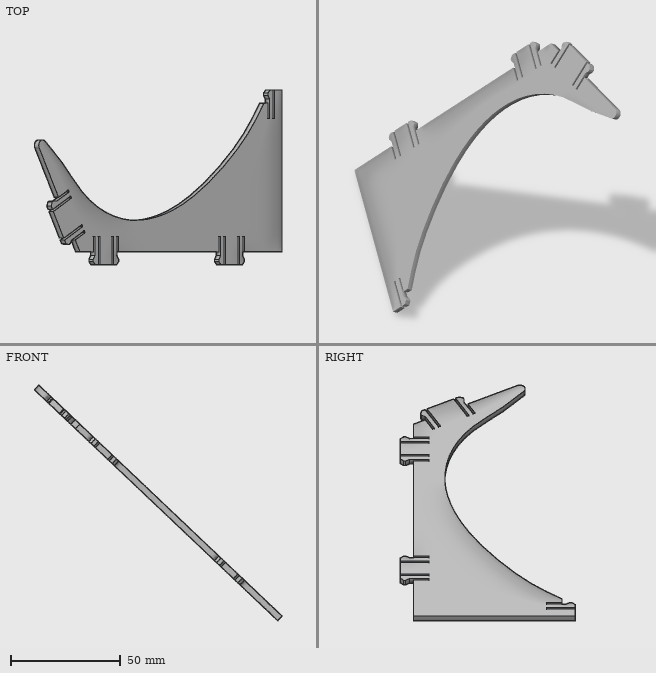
import cadquery as cq
import math

thickness = 3.0
tilt = 43.5
panel_height = 68.0
base_length = 127.5
back_slope = 61.6

overall_length = 153.4
tip_radius = 2.5
tip_blend_angle = 135

concave_points = [
    (140.2, 42.3), (125.8, 27.2), (108.9, 17.2), (92.9, 14.4),
    (66.6, 19.9), (46.7, 31.4), (32.1, 43.3), (20.0, 55.9),
]
panel_top_width = 11.5
panel_top_direction = (-1, 1.5)

tab_length = 6.0
slot_depth = 7.0
slot_width = 1.0
prong_width = 2.2
hook_reach = 1.0
hook_start = 1.8
hook_crest_start = 3.5
hook_crest_end = 4.5
hook_end_inset = 0.3

base_tab_width = 14.0
base_tab_places = (31.8, 111.0)
back_tab_width = 20.2
back_tab_place = 17.2
heel_tab_width = 16.0

back_cos = math.cos(math.radians(back_slope))
back_sin = math.sin(math.radians(back_slope))


def back_point(distance):
    """Point on the slanted back edge, measured from the base corner."""
    return (base_length + distance * back_cos, distance * back_sin)


def make_panel():
    """Panel and arm without tabs."""
    center_x = overall_length - tip_radius
    center_y = (tip_radius + (center_x - base_length) * back_sin) / back_cos

    def on_tip(angle):
        turn = math.radians(angle)
        return (center_x + tip_radius * math.cos(turn), center_y + tip_radius * math.sin(turn))

    tip_start_angle = back_slope - 90
    tip_middle_angle = (tip_start_angle + tip_blend_angle) / 2
    blend = math.radians(tip_blend_angle)
    return (
        cq.Workplane("XY")
        .lineTo(base_length, 0)
        .lineTo(*on_tip(tip_start_angle))
        .threePointArc(on_tip(tip_middle_angle), on_tip(tip_blend_angle))
        .spline(
            concave_points + [(panel_top_width, panel_height)],
            tangents=[(-math.sin(blend), math.cos(blend)), panel_top_direction],
            includeCurrent=True,
        )
        .lineTo(0, panel_height)
        .close()
        .extrude(thickness)
    )


def make_tab(width):
    """Tab pointing along -y from the origin, with hooks on both sides."""
    neck = width / 2
    side = [
        (neck, 0),
        (neck, -hook_start),
        (neck + hook_reach, -hook_crest_start),
        (neck + hook_reach, -hook_crest_end),
        (neck - hook_end_inset, -tab_length),
    ]
    other_side = [(-x, y) for x, y in reversed(side)]
    return cq.Workplane("XY").polyline(side + other_side).close().extrude(thickness)


def make_slots(width):
    """Slots that free both prongs of a tab pointing along -y."""
    outer = width / 2 + slot_width / 2
    inner = width / 2 - prong_width - slot_width / 2
    outer_slots = (
        cq.Workplane("XY")
        .pushPoints([(-outer, slot_depth / 2), (outer, slot_depth / 2)])
        .rect(slot_width, slot_depth)
        .extrude(thickness)
    )
    inner_middle = (slot_depth - tab_length) / 2
    inner_slots = (
        cq.Workplane("XY")
        .pushPoints([(-inner, inner_middle), (inner, inner_middle)])
        .rect(slot_width, slot_depth + tab_length)
        .extrude(thickness)
    )
    return outer_slots.union(inner_slots)


def add_tab(plate, width, place, turn):
    """Join a tab at an edge point, turned from the -y direction, and cut its slots."""
    def put(shape):
        return shape.rotate((0, 0, 0), (0, 0, 1), turn).translate((*place, 0))

    return plate.union(put(make_tab(width))).cut(put(make_slots(width)))


plate = make_panel()
for place in base_tab_places:
    plate = add_tab(plate, base_tab_width, (place, 0), 0)
plate = add_tab(plate, back_tab_width, back_point(back_tab_place), back_slope)
plate = add_tab(plate, heel_tab_width, (0, panel_height), 180)

beyond_heel = cq.Workplane("XY").box(
    heel_tab_width, 2 * (panel_height + tab_length), thickness, centered=(False, True, False)
).translate((-heel_tab_width, 0, 0))
plate = plate.cut(beyond_heel)

tilt_cos = math.cos(math.radians(tilt))
tilt_sin = math.sin(math.radians(tilt))
sloped = cq.Plane(
    origin=(0, 0, 0),
    xDir=(-tilt_cos, 0, tilt_sin),
    normal=(-tilt_sin, 0, -tilt_cos),
)
result = cq.Workplane("XY").newObject([plate.val().moved(sloped.location)])